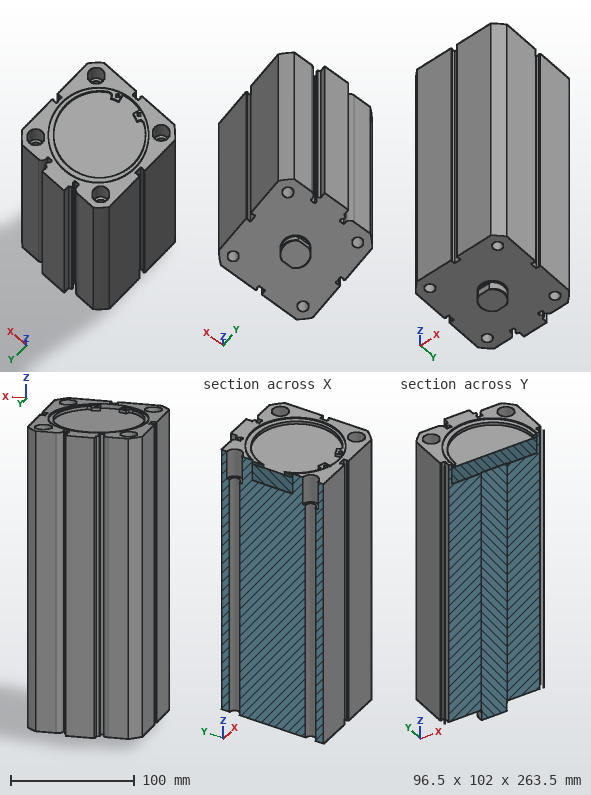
import cadquery as cq
import math

total_height = 263.5
width = 96.5
half_width = width / 2
rod_protrusion = 10.0
body_height = total_height - rod_protrusion

side_flat_half = 39.0
corner_radius = math.hypot(half_width, side_flat_half)

hole_spacing = 71.7
hole_diameter = 9.2
counterbore_diameter = 14.0
counterbore_depth = 26.4

slot_depth = 4.5
slot_half_width = 3.2
slot_lip_half_width = 2.6
slot_lip_depth = 1.3
slot_edge_chamfer = 0.4

rail_top = half_width + 5.5
rail_half_width = 12.0
rail_rib_half_width = 14.5
rail_rib_top = 47.5
rail_rib_bottom = 45.5
rail_rib_slope = 1.5
rail_foot_half_width = 12.6

channel_floor = 41.6
channel_wall_x = 17.0
channel_edge_radius = 4.7

recess_radius = 40.5
ring_depth = 1.0
ring_thickness = 2.6
cover_thickness = 15.8
ring_bottom = body_height - ring_depth - ring_thickness
cover_bottom = ring_bottom - cover_thickness

ring_opening_radius = 37.2
ring_opening_shift = 1.3
shoulder_y = -33.2
lug_inner_radius = 33.5
lug_start_angle = 13.7
lug_end_angle = 25.5
lug_hole_angle = 18.4
lug_hole_radius = 37.5
lug_hole_diameter = 3.0

rod_diameter = 25.0
rod_radius = rod_diameter / 2
rod_half_across_flats = 11.0
rod_flat_top = -2.6
rod_edge_chamfer = 0.5
rod_groove_depth = 0.3
rod_groove_top = -1.0
rod_groove_width = 0.8


def disc(radius, bottom, top):
    """Solid disc on the Z axis."""
    return cq.Workplane("XY", origin=(0, 0, bottom)).circle(radius).extrude(top - bottom)


def make_slot():
    """Cutter for one sensor slot, in the -Y side."""
    face_y = -half_width
    lip_y = face_y + slot_lip_depth
    floor_y = face_y + slot_depth
    edge_half_width = slot_lip_half_width + slot_edge_chamfer
    right_side = [
        (edge_half_width, face_y),
        (slot_lip_half_width, face_y + slot_edge_chamfer),
        (slot_lip_half_width, lip_y),
        (slot_half_width, lip_y),
        (slot_half_width, floor_y),
    ]
    left_side = [(-x, y) for x, y in reversed(right_side)]
    return cq.Workplane("XY").polyline(right_side + left_side).close().extrude(body_height)


def make_channel():
    """Cutter for the channel on the +X side of the rail, with a rounded outer edge."""
    edge_x = channel_wall_x + channel_edge_radius
    arc_inset = channel_edge_radius * (1 - math.sqrt(0.5))
    return (
        cq.Workplane("XY")
        .moveTo(rail_foot_half_width, channel_floor)
        .lineTo(channel_wall_x, channel_floor)
        .lineTo(channel_wall_x, half_width - channel_edge_radius)
        .threePointArc((channel_wall_x + arc_inset, half_width - arc_inset), (edge_x, half_width))
        .lineTo(rail_half_width, half_width)
        .lineTo(rail_rib_half_width, rail_rib_top)
        .lineTo(rail_rib_half_width, rail_rib_bottom)
        .lineTo(rail_foot_half_width, rail_rib_bottom - rail_rib_slope)
        .close()
        .extrude(body_height)
    )


def make_housing():
    block = cq.Workplane("XY").rect(width, width).extrude(body_height)
    housing = block.intersect(disc(corner_radius, 0, body_height))

    rail = (
        cq.Workplane("XY")
        .center(0, rail_top / 2)
        .rect(2 * rail_half_width, rail_top)
        .extrude(body_height)
    )
    channel = make_channel()
    housing = housing.union(rail).cut(channel).cut(channel.mirror("YZ"))

    slot = make_slot()
    for angle in (-90, 0, 90):
        housing = housing.cut(slot.rotate((0, 0, 0), (0, 0, 1), angle))

    housing = (
        housing.faces(">Z")
        .workplane(origin=(0, 0, body_height))
        .rect(hole_spacing, hole_spacing, forConstruction=True)
        .vertices()
        .cboreHole(hole_diameter, counterbore_diameter, counterbore_depth)
    )
    recess = disc(recess_radius, cover_bottom, body_height)
    rod_hole = disc(rod_radius, 0, cover_bottom)
    return housing.cut(recess).cut(rod_hole)


def make_cover():
    return disc(recess_radius, cover_bottom, ring_bottom)


def ring_sector(half_angle):
    """Wedge that spans half_angle to each side of -Y and reaches past the ring."""
    reach = 2 * recess_radius
    far_x = reach * math.tan(math.radians(half_angle))
    return (
        cq.Workplane("XY", origin=(0, 0, ring_bottom))
        .polyline([(0, 0), (-far_x, -reach), (far_x, -reach)])
        .close()
        .extrude(ring_thickness)
    )


def make_ring():
    ring_top = ring_bottom + ring_thickness
    blank = disc(recess_radius, ring_bottom, ring_top)
    opening = disc(ring_opening_radius, ring_bottom, ring_top).translate((0, -ring_opening_shift, 0))
    shoulders = (
        cq.Workplane("XY", origin=(0, shoulder_y - recess_radius, ring_bottom))
        .rect(2 * recess_radius, 2 * recess_radius)
        .extrude(ring_thickness)
    )
    lugs = ring_sector(lug_end_angle).cut(disc(lug_inner_radius, ring_bottom, ring_top))

    ring = blank.cut(opening.cut(shoulders).cut(lugs)).cut(ring_sector(lug_start_angle))

    hole_x = lug_hole_radius * math.sin(math.radians(lug_hole_angle))
    hole_y = -lug_hole_radius * math.cos(math.radians(lug_hole_angle))
    lug_holes = (
        cq.Workplane("XY", origin=(0, 0, ring_bottom))
        .pushPoints([(-hole_x, hole_y), (hole_x, hole_y)])
        .circle(lug_hole_diameter / 2)
        .extrude(ring_thickness)
    )
    return ring.cut(lug_holes)


def make_rod():
    rod = disc(rod_radius, -rod_protrusion, cover_bottom).faces("<Z").chamfer(rod_edge_chamfer)

    groove_bottom = rod_groove_top - rod_groove_width
    core = disc(rod_radius - rod_groove_depth, groove_bottom, rod_groove_top)
    rod = rod.cut(disc(rod_radius, groove_bottom, rod_groove_top).cut(core))

    flat_depth = rod_radius - rod_half_across_flats
    flat = (
        cq.Workplane("YZ")
        .moveTo(rod_radius, rod_flat_top + flat_depth)
        .lineTo(rod_half_across_flats, rod_flat_top)
        .lineTo(rod_half_across_flats, -rod_protrusion)
        .lineTo(rod_radius, -rod_protrusion)
        .close()
        .extrude(rod_radius, both=True)
    )
    return rod.cut(flat).cut(flat.mirror("XZ"))


housing = make_housing()
cover = make_cover()
retaining_ring = make_ring()
piston_rod = make_rod()

result = cq.Compound.makeCompound(
    [housing.val(), cover.val(), retaining_ring.val(), piston_rod.val()]
)